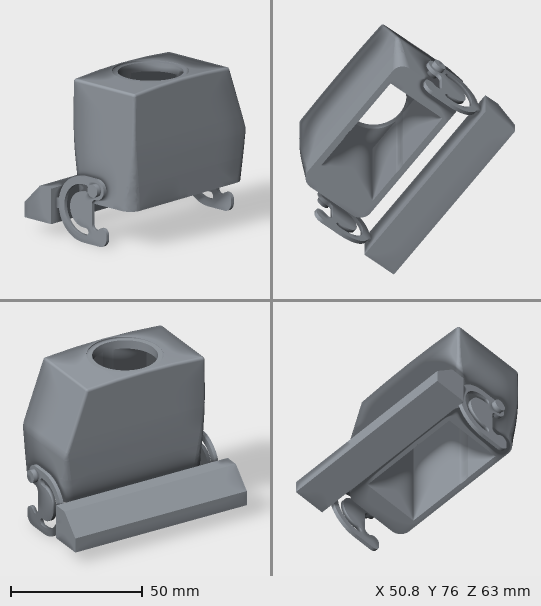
import cadquery as cq
import math


HOOD_HALF_WIDTH = 16.15
HOOD_HALF_LENGTH = 31.4
HOOD_HEIGHT = 48.0
BEND_START_Z = 26.3
BEND_END_Z = 9.9
SIDE_DRAFT = 4.2
END_DRAFT = 0.7
SLOPE_START_Z = 20.6
SLOPE_ANGLE = 20.0
SLOPE_BLEND_RADIUS = 10.0
CROWN_RADIUS = 290.0
TOP_EDGE_RADIUS = 1.1
TOP_EDGE_MIN_Z = 46.0
MIN_CORNER_RISE = 1.0
FRONT_FLARE_START_Z = 28.0
FRONT_MOUTH_RADIUS = 4.9
BACK_FLARE_START_Z = 22.0
BACK_MOUTH_RADIUS = 4.6

ENTRY_Y = -5.0
ENTRY_DIAMETER = 25.0
SEAT_DIAMETER = 29.2
SEAT_DEPTH = 0.5
CAVITY_HALF_WIDTH = 12.3
CAVITY_HALF_LENGTH = 22.0
CAVITY_HEIGHT = 44.0

PIN_Z = 7.0
PIN_DIAMETER = 4.0
PIN_HEAD_DIAMETER = 5.1
PIN_END_Y = 37.0
PIN_ROOT_Y = 25.0

PLATE_OUTER_Y = 35.0
PLATE_THICKNESS = 1.5
EYE_RADIUS = 4.0
RING_RADIUS = 13.0
RING_X = -6.6
RING_Z = PIN_Z + EYE_RADIUS - RING_RADIUS
SLOT_OUTER_RADIUS = 10.0
SLOT_INNER_RADIUS = 7.0
SLOT_END_X = -5.5
THROAT_X = -2.2
THROAT_RADIUS = 2.0
NOTCH_Z = -7.0
HOOK_TIP_RADIUS = 2.4
HOOK_TIP_X = 3.05
HOOK_HEEL_RADIUS = 3.5
NECK_HEIGHT = 4.0

BAR_LENGTH = 76.0
BAR_SIZE = 14.0
BAR_CHAMFER = 8.0
BAR_MIN_X = -34.6
BAR_TOP_Z = 4.1


def tan_deg(angle):
    return math.tan(math.radians(angle))


def hood_width_section():
    """Outline across X: vertical sides that bend inwards to a drafted skirt."""
    bend_radius = (BEND_START_Z - BEND_END_Z) / math.sin(math.radians(SIDE_DRAFT))

    def bend_point(angle):
        x = HOOD_HALF_WIDTH - bend_radius * (1 - math.cos(math.radians(angle)))
        z = BEND_START_Z - bend_radius * math.sin(math.radians(angle))
        return x, z

    mid_x, mid_z = bend_point(SIDE_DRAFT / 2)
    end_x, end_z = bend_point(SIDE_DRAFT)
    mouth_x = end_x - end_z * tan_deg(SIDE_DRAFT)
    return (
        cq.Workplane("XZ")
        .moveTo(-mouth_x, 0)
        .lineTo(mouth_x, 0)
        .lineTo(end_x, end_z)
        .threePointArc((mid_x, mid_z), (HOOD_HALF_WIDTH, BEND_START_Z))
        .lineTo(HOOD_HALF_WIDTH, HOOD_HEIGHT)
        .lineTo(-HOOD_HALF_WIDTH, HOOD_HEIGHT)
        .lineTo(-HOOD_HALF_WIDTH, BEND_START_Z)
        .threePointArc((-mid_x, mid_z), (-end_x, end_z))
        .close()
        .extrude(HOOD_HALF_LENGTH, both=True)
    )


def hood_length_section():
    """Outline along Y: drafted ends and a sloped upper back face."""
    front_top_y = -HOOD_HALF_LENGTH + HOOD_HEIGHT * tan_deg(END_DRAFT)
    slope_y = HOOD_HALF_LENGTH - SLOPE_START_Z * tan_deg(END_DRAFT)
    back_top_y = slope_y - (HOOD_HEIGHT - SLOPE_START_Z) * tan_deg(SLOPE_ANGLE)
    section = (
        cq.Workplane("YZ")
        .polyline([
            (-HOOD_HALF_LENGTH, 0),
            (HOOD_HALF_LENGTH, 0),
            (slope_y, SLOPE_START_Z),
            (back_top_y, HOOD_HEIGHT),
            (front_top_y, HOOD_HEIGHT),
        ])
        .close()
        .extrude(HOOD_HALF_WIDTH, both=True)
    )
    slope_corner = cq.selectors.NearestToPointSelector((0, slope_y, SLOPE_START_Z))
    return section.edges(slope_corner).fillet(SLOPE_BLEND_RADIUS)


def crown_cylinder():
    """Large cylinder whose crest, above the cable entry, is the top of the hood."""
    return (
        cq.Workplane("YZ")
        .center(ENTRY_Y, HOOD_HEIGHT - CROWN_RADIUS)
        .circle(CROWN_RADIUS)
        .extrude(HOOD_HALF_WIDTH, both=True)
    )


def corner_radius(point):
    """Corner radius of the hood, growing steadily from the start of the flare to the mouth."""
    if point.Y < 0:
        flare_start_z, mouth_radius = FRONT_FLARE_START_Z, FRONT_MOUTH_RADIUS
    else:
        flare_start_z, mouth_radius = BACK_FLARE_START_Z, BACK_MOUTH_RADIUS
    flare = max(0.0, 1 - point.Z / flare_start_z)
    return TOP_EDGE_RADIUS + flare * (mouth_radius - TOP_EDGE_RADIUS)


def is_top_edge(edge):
    ends_z = [vertex.Z for vertex in edge.Vertices()]
    return min(ends_z) > TOP_EDGE_MIN_Z


def is_corner_edge(edge):
    """True for the upright edges, whose two ends lie at different heights on the same side."""
    start, end = edge.startPoint(), edge.endPoint()
    return abs(start.z - end.z) > MIN_CORNER_RISE and start.x * end.x > 0 and start.y * end.y > 0


def round_hood_edges(hood):
    """Round the top edges evenly and the four corners with a varying radius."""
    rounder = cq.occ_impl.shapes.BRepFilletAPI_MakeFillet(hood.val().wrapped)
    edges = hood.edges().vals()
    for edge in filter(is_corner_edge, edges):
        rounder.Add(edge.wrapped)
        contour = rounder.Contour(edge.wrapped)
        for vertex in edge.Vertices():
            rounder.SetRadius(corner_radius(vertex), contour, vertex.wrapped)
    for edge in filter(is_top_edge, edges):
        rounder.Add(TOP_EDGE_RADIUS, edge.wrapped)
    return cq.Workplane(cq.Shape.cast(rounder.Shape()).Solids()[0])


def make_hood():
    hood = hood_width_section().intersect(hood_length_section()).intersect(crown_cylinder())
    hood = round_hood_edges(hood)
    seat = (
        cq.Workplane("XY", origin=(0, ENTRY_Y, HOOD_HEIGHT - SEAT_DEPTH))
        .circle(SEAT_DIAMETER / 2)
        .extrude(SEAT_DEPTH)
    )
    entry = (
        cq.Workplane("XY", origin=(0, ENTRY_Y, 0))
        .circle(ENTRY_DIAMETER / 2)
        .extrude(HOOD_HEIGHT)
    )
    cavity = cq.Workplane("XY").box(
        2 * CAVITY_HALF_WIDTH, 2 * CAVITY_HALF_LENGTH, CAVITY_HEIGHT, centered=(True, True, False)
    )
    return hood.cut(seat).cut(entry).cut(cavity)


def make_pin():
    """Trunnion pin on the -Y end: a shaft through the plate and a head outside it."""
    shaft = (
        cq.Workplane("XZ", origin=(0, -PIN_ROOT_Y, PIN_Z))
        .circle(PIN_DIAMETER / 2)
        .extrude(PIN_END_Y - PIN_ROOT_Y)
    )
    head = (
        cq.Workplane("XZ", origin=(0, -PLATE_OUTER_Y, PIN_Z))
        .circle(PIN_HEAD_DIAMETER / 2)
        .extrude(PIN_END_Y - PLATE_OUTER_Y)
    )
    return shaft.union(head)


def plate_workplane():
    return cq.Workplane("XZ", origin=(0, PLATE_THICKNESS - PLATE_OUTER_Y, 0))


def lever_outline():
    """Half ring with a pin eye at the top and a hook at the bottom."""
    bottom_z = RING_Z - RING_RADIUS
    notch_x = THROAT_X + THROAT_RADIUS
    notch_to_tip = THROAT_RADIUS + HOOK_TIP_RADIUS
    tip_dx = HOOK_TIP_X - notch_x
    tip_dz = math.sqrt(notch_to_tip**2 - tip_dx**2)
    tip_z = NOTCH_Z - tip_dz
    touch_x = notch_x + tip_dx * THROAT_RADIUS / notch_to_tip
    touch_z = NOTCH_Z - tip_dz * THROAT_RADIUS / notch_to_tip
    hook_max_x = HOOK_TIP_X + HOOK_TIP_RADIUS
    heel_x = hook_max_x - HOOK_HEEL_RADIUS
    heel_z = bottom_z + HOOK_HEEL_RADIUS
    eye_bottom_z = PIN_Z - EYE_RADIUS
    return (
        plate_workplane()
        .moveTo(RING_X, RING_Z + RING_RADIUS)
        .lineTo(0, PIN_Z + EYE_RADIUS)
        .threePointArc((EYE_RADIUS, PIN_Z), (0, eye_bottom_z))
        .lineTo(notch_x, eye_bottom_z)
        .tangentArcPoint((THROAT_X, eye_bottom_z - THROAT_RADIUS), relative=False)
        .lineTo(THROAT_X, NOTCH_Z)
        .tangentArcPoint((touch_x, touch_z), relative=False)
        .tangentArcPoint((hook_max_x, tip_z), relative=False)
        .lineTo(hook_max_x, heel_z)
        .tangentArcPoint((heel_x, bottom_z), relative=False)
        .lineTo(RING_X, bottom_z)
        .threePointArc((RING_X - RING_RADIUS, RING_Z), (RING_X, RING_Z + RING_RADIUS))
        .close()
        .extrude(PLATE_THICKNESS)
    )


def lever_slot():
    """Curved slot with straight, round-ended legs towards +X."""
    end_radius = (SLOT_OUTER_RADIUS - SLOT_INNER_RADIUS) / 2
    leg_offset = SLOT_INNER_RADIUS + end_radius
    upper_outer_z = RING_Z + SLOT_OUTER_RADIUS
    upper_inner_z = RING_Z + SLOT_INNER_RADIUS
    lower_outer_z = RING_Z - SLOT_OUTER_RADIUS
    lower_inner_z = RING_Z - SLOT_INNER_RADIUS
    tip_x = SLOT_END_X + end_radius
    return (
        plate_workplane()
        .moveTo(RING_X, upper_outer_z)
        .lineTo(SLOT_END_X, upper_outer_z)
        .threePointArc((tip_x, RING_Z + leg_offset), (SLOT_END_X, upper_inner_z))
        .lineTo(RING_X, upper_inner_z)
        .threePointArc((RING_X - SLOT_INNER_RADIUS, RING_Z), (RING_X, lower_inner_z))
        .lineTo(SLOT_END_X, lower_inner_z)
        .threePointArc((tip_x, RING_Z - leg_offset), (SLOT_END_X, lower_outer_z))
        .lineTo(RING_X, lower_outer_z)
        .threePointArc((RING_X - SLOT_OUTER_RADIUS, RING_Z), (RING_X, upper_outer_z))
        .close()
        .extrude(PLATE_THICKNESS)
    )


def make_lever_plate():
    """Lever plate on the -Y end, with a short neck reaching the handle bar."""
    bar_max_x = BAR_MIN_X + BAR_SIZE
    neck_end_x = RING_X - (RING_RADIUS + SLOT_OUTER_RADIUS) / 2
    neck = (
        plate_workplane()
        .center((bar_max_x + neck_end_x) / 2, RING_Z)
        .rect(neck_end_x - bar_max_x, NECK_HEIGHT)
        .extrude(PLATE_THICKNESS)
    )
    return lever_outline().union(neck).cut(lever_slot())


def make_handle_bar():
    bar = (
        cq.Workplane("XZ", origin=(BAR_MIN_X, 0, BAR_TOP_Z))
        .rect(BAR_SIZE, -BAR_SIZE, centered=False)
        .extrude(BAR_LENGTH / 2, both=True)
    )
    return bar.edges("<X and >Z").chamfer(BAR_CHAMFER)


result = make_hood().union(make_handle_bar())
for end_part in (make_pin(), make_lever_plate()):
    result = result.union(end_part).union(end_part.mirror("XZ"))